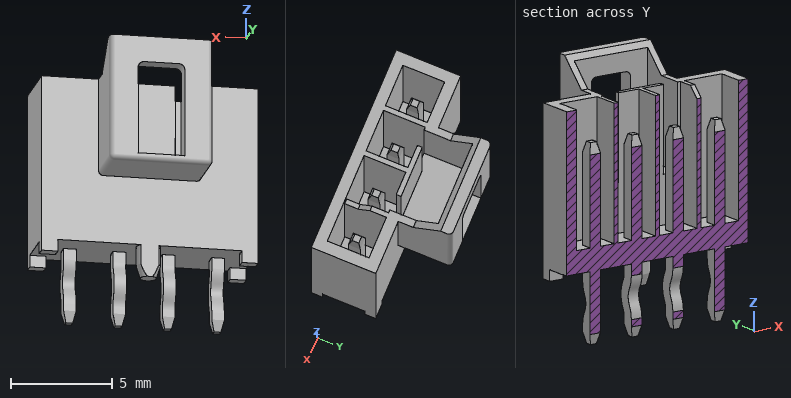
import cadquery as cq
import math


total_depth = 6.33
total_height = 13.71

pin_pitch = 2.5
pin_count = 4
cavity_size = 2.23
divider_thickness = pin_pitch - cavity_size
outer_wall = 0.62
housing_length = 10.94
housing_depth = cavity_size + 2 * outer_wall
housing_height = 8.45
floor_thickness = 1.23
foot_length = 0.82
foot_depth = 0.6
foot_height = 0.6
front_y = -housing_depth / 2
cavity_back_y = cavity_size / 2
pin_positions = [(i - (pin_count - 1) / 2) * pin_pitch for i in range(pin_count)]

hood_back_y = front_y + total_depth
hood_width = 5.18
hood_side_wall = 0.38
hood_back_wall = 0.88
hood_inner_width = hood_width - 2 * hood_side_wall
hood_bottom_z = 3.45
hood_floor_z = hood_bottom_z + hood_side_wall
hood_rise = 1.47
hood_top_z = housing_height + hood_rise
hood_lip_depth = 0.59
hood_edge_radius = 0.25
window_width = 2.35
window_top_z = 8.58
window_radius = 0.3

rib_length = 2.71
notch_start_y = 0.23
notch_depth = 0.63

post_radius = 0.6
post_front_y = 0.74
post_center_y = post_front_y + post_radius
post_straight_length = 1.0
post_tip_length = 0.62
post_tip_radius = 0.41

pin_size = 0.65
pin_tip_size = 0.35
pin_tip_length = 0.58
pin_end_z = hood_top_z - total_height
pin_top_z = 6.58
bend_offset = 0.27
bend_top_z = -0.58
bend_height = 2.28


def box(x_range, y_range, z_range):
    """Box between the given limits on each axis."""
    (x0, x1), (y0, y1), (z0, z1) = x_range, y_range, z_range
    return cq.Workplane("XY").box(x1 - x0, y1 - y0, z1 - z0, centered=False).translate((x0, y0, z0))


def centered(width):
    """Limits of a width that is symmetric about zero."""
    return (-width / 2, width / 2)


def make_housing():
    """Block with a foot at each lower corner."""
    block = box(centered(housing_length), centered(housing_depth), (-foot_height, housing_height))
    relief_z = (-foot_height, 0)
    long_relief = box(centered(housing_length - 2 * foot_length), centered(housing_depth), relief_z)
    cross_relief = box(centered(housing_length), centered(housing_depth - 2 * foot_depth), relief_z)
    return block.cut(long_relief).cut(cross_relief)


def make_hood():
    """Solid hood with rounded outer edges and a sloping top, reaching into the housing."""
    hood = box(centered(hood_width), (0, hood_back_y), (hood_bottom_z, hood_top_z))
    hood = hood.edges("(|Z and >Y) or (<Z and (|Y or >Y))").fillet(hood_edge_radius)
    slope_top_y = hood_back_y - hood_lip_depth
    above_slope = (
        cq.Workplane("YZ")
        .moveTo(0, housing_height)
        .lineTo(slope_top_y - hood_rise, housing_height)
        .lineTo(slope_top_y, hood_top_z)
        .lineTo(0, hood_top_z)
        .close()
        .extrude(hood_width / 2, both=True)
    )
    return hood.cut(above_slope)


def make_hood_pocket():
    """Space inside the hood, open to the two middle cavities."""
    return box(
        centered(hood_inner_width),
        (cavity_back_y, hood_back_y - hood_back_wall),
        (hood_floor_z, hood_top_z),
    )


def make_window():
    """Opening through the hood's back wall, with rounded upper corners."""
    wall_y = (hood_back_y - hood_back_wall, hood_back_y)
    window = box(centered(window_width), wall_y, (hood_floor_z, window_top_z))
    return window.edges("|Y and >Z").fillet(window_radius)


def make_divider_rib():
    """Cross rib that closes the back end of the middle divider."""
    return box(
        centered(rib_length),
        (cavity_back_y, cavity_back_y + divider_thickness),
        (hood_floor_z, housing_height),
    )


def make_divider_notch():
    """Cut that lowers the front of the +X divider, entered by a 45 degree slope."""
    notch_bottom_z = housing_height - notch_depth
    return (
        cq.Workplane("YZ", origin=(pin_pitch, 0, 0))
        .moveTo(-cavity_back_y, housing_height)
        .lineTo(notch_start_y, housing_height)
        .lineTo(notch_start_y - notch_depth, notch_bottom_z)
        .lineTo(-cavity_back_y, notch_bottom_z)
        .close()
        .extrude(divider_thickness / 2, both=True)
    )


def make_post():
    """Round post with a conical tip, cut flush with the back of the housing."""
    tip_end_z = -post_straight_length - post_tip_length
    post = (
        cq.Workplane("XZ")
        .lineTo(post_radius, 0)
        .lineTo(post_radius, -post_straight_length)
        .lineTo(post_tip_radius, tip_end_z)
        .lineTo(0, tip_end_z)
        .close()
        .revolve(360, (0, 0), (0, 1))
        .translate((0, post_center_y, 0))
    )
    return post.intersect(box(centered(housing_length), centered(housing_depth), (tip_end_z, 0)))


def make_pin(side):
    """Square pin with pointed ends whose tail bends towards side (+1 or -1) along Y."""
    shank_top_z = pin_top_z - pin_tip_length
    shank_bottom_z = pin_end_z + pin_tip_length
    quarter = bend_height / 4
    path = (
        cq.Workplane("YZ")
        .moveTo(0, shank_top_z)
        .lineTo(0, bend_top_z)
        .tangentArcPoint((side * bend_offset / 2, bend_top_z - quarter), relative=False)
        .tangentArcPoint((side * bend_offset / 2, bend_top_z - 3 * quarter), relative=False)
        .tangentArcPoint((0, bend_top_z - 4 * quarter), relative=False)
        .lineTo(0, shank_bottom_z)
    )
    shank = cq.Workplane("XY", origin=(0, 0, shank_top_z)).rect(pin_size, pin_size).sweep(path)
    taper = math.degrees(math.atan((pin_size - pin_tip_size) / 2 / pin_tip_length))
    point = cq.Workplane("XY").rect(pin_size, pin_size).extrude(pin_tip_length, taper=taper)
    top_point = point.translate((0, 0, shank_top_z))
    tail_point = point.mirror("XY").translate((0, 0, shank_bottom_z))
    return shank.union(top_point).union(tail_point)


result = make_housing().union(make_hood()).cut(make_hood_pocket()).cut(make_window())
result = result.union(make_divider_rib())
for pin_x in pin_positions:
    cavity_x = (pin_x - cavity_size / 2, pin_x + cavity_size / 2)
    result = result.cut(box(cavity_x, centered(cavity_size), (floor_thickness, housing_height)))
result = result.cut(make_divider_notch()).union(make_post())

for pin_x in pin_positions:
    bend_side = -1 if abs(pin_x) > pin_pitch else 1
    result = result.union(make_pin(bend_side).translate((pin_x, 0, 0)))